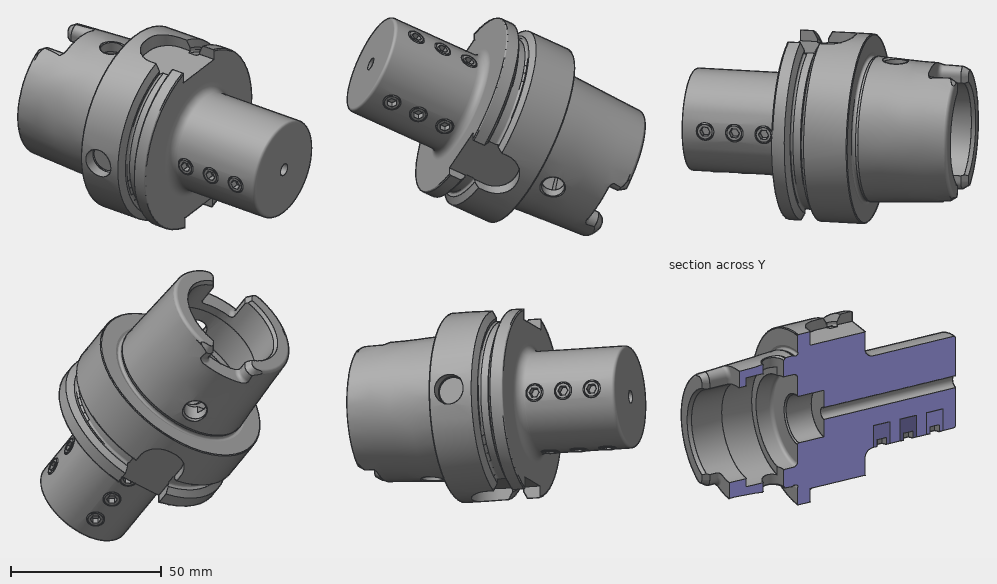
import cadquery as cq
import math


SHANK_LENGTH = 31.9
NOSE_END = 60.0
FLANGE_RADIUS = 31.5
FLANGE_WIDTH = 25.8
NOSE_RADIUS = 17.0

TAPER_SLOPE = 0.05
GAUGE_RADIUS = 24.0
GAUGE_X = -6.3
SHANK_END_ROUND = 1.2
NECK_RADIUS = 23.9
TAPER_TOP_X = -1.9
NECK_START_X = -1.05
NECK_END_X = -0.5
UNDERCUT_ROUND = 0.7
FACE_INNER_RADIUS = 25.4

FLANGE_FRONT_CHAMFER = 0.3
FLANGE_BACK_ROUND = 0.4
GROOVE_START_X = 14.8
GROOVE_END_X = 21.4
GROOVE_WALL_RUN = 1.4
GROOVE_WALL_ANGLE = 60.0
GROOVE_FLOOR_RADIUS = 27.6
GROOVE_CORNER_ROUND = 0.65
SLOT_START_X = 5.0
SLOT_FLOOR = 26.5
SLOT_CORNER_ROUND = 7.5
TOP_SLOT_WIDTH = 18.0
BOTTOM_SLOT_WIDTH = 16.0

NOSE_ROOT_ROUND = 3.0
NOSE_END_ROUND = 1.0

BORE_RADIUS = 17.0
BORE_MOUTH_CHAMFER = 0.7
BORE_MOUTH_CHAMFER_LENGTH = 1.3
CHAMBER_RADIUS = 20.0
CHAMBER_START_X = -19.2
CHAMBER_END_X = -6.2
BORE_FLOOR_X = 0.0
BORE_FLOOR_ROUND = 1.3
TUBE_BORE_RADIUS = 9.0
TUBE_BORE_DEPTH = 10.0
TUBE_THREAD_RADIUS = 8.5
COOLANT_RADIUS = 2.1

KEYWAY_WIDTH = 12.5
KEYWAY_TOP_FLOOR_X = -22.0
KEYWAY_BOTTOM_FLOOR_X = -25.8
KEYWAY_FLOOR_ROUND = 1.3
LOBE_ROUND = 3.0
LOBE_ROUND_HEIGHT = 17.9
LOBE_TILT = 17.5
KEYWAY_MOUTH_LENGTH = 2.25
KEYWAY_MOUTH_FLARE = 1.4

CROSS_HOLE_X = -9.0
CROSS_HOLE_RADIUS = 3.8
CROSS_HOLE_CHAMFER = 0.6
CHIP_HOLE_X = 7.0
CHIP_HOLE_RADIUS = 5.0
CHIP_HOLE_DEPTH = 4.4
CHIP_HOLE_FLOOR_CHAMFER = 0.3

SCREW_POSITIONS = [32.0, 42.0, 52.0]
SCREW_ROW_ANGLES = [0.0, 90.0, 180.0]
SCREW_RADIUS = 3.0
SCREW_LENGTH = 8.0
SCREW_HEAD_RADIUS = 2.5
SCREW_HEAD_BEVEL = 0.25
SOCKET_ACROSS_FLATS = 3.0
SOCKET_DEPTH = 2.5

CLEARANCE = 2.0


def taper_radius(x):
    return GAUGE_RADIUS + TAPER_SLOPE * (x - GAUGE_X)


def revolved(profile):
    return profile.close().revolve(360, (0, 0, 0), (1, 0, 0))


def outer_body():
    end_radius = taper_radius(-SHANK_LENGTH)
    undercut_x = NECK_END_X + UNDERCUT_ROUND
    wall_drop = GROOVE_WALL_RUN * math.tan(math.radians(GROOVE_WALL_ANGLE))
    wall_foot = FLANGE_RADIUS - wall_drop
    recess_start = GROOVE_START_X + GROOVE_WALL_RUN
    recess_end = GROOVE_END_X - GROOVE_WALL_RUN
    corner = GROOVE_CORNER_ROUND
    rounded_floor = GROOVE_FLOOR_RADIUS + corner
    profile = (
        cq.Workplane("XY")
        .moveTo(-SHANK_LENGTH, 0)
        .lineTo(-SHANK_LENGTH, end_radius - SHANK_END_ROUND)
        .radiusArc((-SHANK_LENGTH + SHANK_END_ROUND, end_radius), SHANK_END_ROUND)
        .lineTo(TAPER_TOP_X, taper_radius(TAPER_TOP_X))
        .lineTo(NECK_START_X, NECK_RADIUS)
        .lineTo(NECK_END_X, NECK_RADIUS)
        .radiusArc((undercut_x, NECK_RADIUS + UNDERCUT_ROUND), -UNDERCUT_ROUND)
        .lineTo(0, FACE_INNER_RADIUS)
        .lineTo(0, FLANGE_RADIUS - FLANGE_FRONT_CHAMFER)
        .lineTo(FLANGE_FRONT_CHAMFER, FLANGE_RADIUS)
        .lineTo(GROOVE_START_X, FLANGE_RADIUS)
        .lineTo(recess_start, wall_foot)
        .lineTo(recess_start, rounded_floor)
        .radiusArc((recess_start + corner, GROOVE_FLOOR_RADIUS), -corner)
        .lineTo(recess_end - corner, GROOVE_FLOOR_RADIUS)
        .radiusArc((recess_end, rounded_floor), -corner)
        .lineTo(recess_end, wall_foot)
        .lineTo(GROOVE_END_X, FLANGE_RADIUS)
        .lineTo(FLANGE_WIDTH - FLANGE_BACK_ROUND, FLANGE_RADIUS)
        .radiusArc((FLANGE_WIDTH, FLANGE_RADIUS - FLANGE_BACK_ROUND), FLANGE_BACK_ROUND)
        .lineTo(FLANGE_WIDTH, NOSE_RADIUS + NOSE_ROOT_ROUND)
        .radiusArc((FLANGE_WIDTH + NOSE_ROOT_ROUND, NOSE_RADIUS), -NOSE_ROOT_ROUND)
        .lineTo(NOSE_END - NOSE_END_ROUND, NOSE_RADIUS)
        .radiusArc((NOSE_END, NOSE_RADIUS - NOSE_END_ROUND), NOSE_END_ROUND)
        .lineTo(NOSE_END, 0)
    )
    return revolved(profile)


def axial_bores():
    tube_chamfer = TUBE_BORE_RADIUS - TUBE_THREAD_RADIUS
    tube_end = BORE_FLOOR_X + TUBE_BORE_DEPTH
    profile = (
        cq.Workplane("XY")
        .moveTo(-SHANK_LENGTH, 0)
        .lineTo(-SHANK_LENGTH, BORE_RADIUS + BORE_MOUTH_CHAMFER)
        .lineTo(-SHANK_LENGTH + BORE_MOUTH_CHAMFER_LENGTH, BORE_RADIUS)
        .lineTo(CHAMBER_START_X, BORE_RADIUS)
        .lineTo(CHAMBER_START_X, CHAMBER_RADIUS)
        .lineTo(CHAMBER_END_X, CHAMBER_RADIUS)
        .lineTo(CHAMBER_END_X, BORE_RADIUS)
        .lineTo(BORE_FLOOR_X - BORE_FLOOR_ROUND, BORE_RADIUS)
        .radiusArc((BORE_FLOOR_X, BORE_RADIUS - BORE_FLOOR_ROUND), -BORE_FLOOR_ROUND * -1)
        .lineTo(BORE_FLOOR_X, TUBE_BORE_RADIUS)
        .lineTo(BORE_FLOOR_X + tube_chamfer, TUBE_THREAD_RADIUS)
        .lineTo(tube_end, TUBE_THREAD_RADIUS)
        .lineTo(tube_end, COOLANT_RADIUS)
        .lineTo(NOSE_END, COOLANT_RADIUS)
        .lineTo(NOSE_END, 0)
    )
    return revolved(profile)


def keyway_outline(x, flare):
    """Cross section of the top keyway at X, with the lobes beside it set back by the flare.

    The corner arc turns past its highest point, and a sloping line carries it on to the outside.
    """
    half_width = KEYWAY_WIDTH / 2
    center_y = half_width + LOBE_ROUND
    radius = LOBE_ROUND - flare
    tilt = math.radians(LOBE_TILT)

    def arc_point(angle):
        return (
            center_y + radius * math.sin(angle),
            LOBE_ROUND_HEIGHT + radius * math.cos(angle),
        )

    arc_start = arc_point(-math.pi / 2)
    arc_middle = arc_point((tilt - math.pi / 2) / 2)
    arc_end = arc_point(tilt)
    run_out = 8.0
    line_end = (
        arc_end[0] + run_out * math.cos(tilt),
        arc_end[1] - run_out * math.sin(tilt),
    )
    top = FLANGE_RADIUS

    def mirrored(point):
        return (-point[0], point[1])

    return (
        cq.Workplane("YZ", origin=(x, 0, 0))
        .moveTo(-arc_start[0], 0)
        .lineTo(arc_start[0], 0)
        .lineTo(*arc_start)
        .threePointArc(arc_middle, arc_end)
        .lineTo(*line_end)
        .lineTo(line_end[0], top)
        .lineTo(-line_end[0], top)
        .lineTo(*mirrored(line_end))
        .lineTo(*mirrored(arc_end))
        .threePointArc(mirrored(arc_middle), mirrored(arc_start))
        .close()
    )


def keyway(floor_x):
    slot = keyway_outline(-SHANK_LENGTH, 0).extrude(floor_x + SHANK_LENGTH)
    lobe_edges = cq.selectors.BoxSelector(
        (floor_x - 0.1, -FLANGE_RADIUS, -0.1),
        (floor_x + 0.1, FLANGE_RADIUS, FLANGE_RADIUS - 1.0),
        boundingbox=True,
    )
    bottom = cq.selectors.BoxSelector(
        (floor_x - 0.1, -FLANGE_RADIUS, -0.1),
        (floor_x + 0.1, FLANGE_RADIUS, 0.1),
        boundingbox=True,
    )
    slot = slot.edges(lobe_edges - bottom).fillet(KEYWAY_FLOOR_ROUND)
    mouth_wire = keyway_outline(-SHANK_LENGTH, KEYWAY_MOUTH_FLARE).wire().val()
    throat_wire = keyway_outline(-SHANK_LENGTH + KEYWAY_MOUTH_LENGTH, 0).wire().val()
    mouth = cq.Workplane(cq.Solid.makeLoft([mouth_wire, throat_wire], True))
    return slot.union(mouth)


def flange_slot(width):
    length = FLANGE_WIDTH + CLEARANCE - SLOT_START_X
    return (
        cq.Workplane("XY", origin=(SLOT_START_X + length / 2, 0, SLOT_FLOOR))
        .rect(length, width)
        .extrude(FLANGE_RADIUS)
        .edges("|Z and <X")
        .fillet(SLOT_CORNER_ROUND)
    )


def cross_hole():
    surface = taper_radius(CROSS_HOLE_X)
    rim_radius = CROSS_HOLE_RADIUS + CROSS_HOLE_CHAMFER
    foot = surface - CROSS_HOLE_CHAMFER
    profile = (
        cq.Workplane("XZ", origin=(CROSS_HOLE_X, 0, 0))
        .lineTo(CROSS_HOLE_RADIUS, 0)
        .lineTo(CROSS_HOLE_RADIUS, foot)
        .lineTo(rim_radius, surface)
        .lineTo(rim_radius, surface + CLEARANCE)
        .lineTo(0, surface + CLEARANCE)
        .close()
    )
    return profile.revolve(360, (0, 0, 0), (0, 1, 0))


def chip_hole():
    return (
        cq.Workplane("XZ", origin=(CHIP_HOLE_X, -FLANGE_RADIUS + CHIP_HOLE_DEPTH, 0))
        .circle(CHIP_HOLE_RADIUS)
        .extrude(CHIP_HOLE_DEPTH + CLEARANCE)
        .faces(">Y")
        .chamfer(CHIP_HOLE_FLOOR_CHAMFER)
    )


def turned_about_x(shape, angle):
    return shape.rotate((0, 0, 0), (1, 0, 0), angle)


def screw_blank(x):
    """A set screw without its socket, pointing to -Y; it is also the shape of its hole."""
    profile = (
        cq.Workplane("XY", origin=(x, 0, 0))
        .moveTo(0, -NOSE_RADIUS)
        .lineTo(SCREW_HEAD_RADIUS, -NOSE_RADIUS)
        .lineTo(SCREW_RADIUS, -NOSE_RADIUS + SCREW_HEAD_BEVEL)
        .lineTo(SCREW_RADIUS, -NOSE_RADIUS + SCREW_LENGTH)
        .lineTo(0, -NOSE_RADIUS + SCREW_LENGTH)
        .close()
    )
    return profile.revolve(360, (0, 0, 0), (0, 1, 0))


def set_screw(x):
    socket = (
        cq.Workplane("XZ", origin=(x, -NOSE_RADIUS + SOCKET_DEPTH, 0))
        .polygon(6, SOCKET_ACROSS_FLATS / math.cos(math.pi / 6))
        .extrude(SOCKET_DEPTH)
    )
    return screw_blank(x).cut(socket)


def holder_body():
    body = outer_body().cut(axial_bores())
    body = body.cut(keyway(KEYWAY_TOP_FLOOR_X))
    body = body.cut(turned_about_x(keyway(KEYWAY_BOTTOM_FLOOR_X), 180))
    body = body.cut(flange_slot(TOP_SLOT_WIDTH))
    body = body.cut(turned_about_x(flange_slot(BOTTOM_SLOT_WIDTH), 180))
    body = body.cut(cross_hole())
    body = body.cut(turned_about_x(cross_hole(), 180))
    body = body.cut(chip_hole())
    for angle in SCREW_ROW_ANGLES:
        for x in SCREW_POSITIONS:
            body = body.cut(turned_about_x(screw_blank(x), angle))
    return body


holder = holder_body()

screws = []
for row_angle in SCREW_ROW_ANGLES:
    for screw_x in SCREW_POSITIONS:
        screws.append(turned_about_x(set_screw(screw_x), row_angle).val())

result = cq.Compound.makeCompound([holder.val(), *screws])